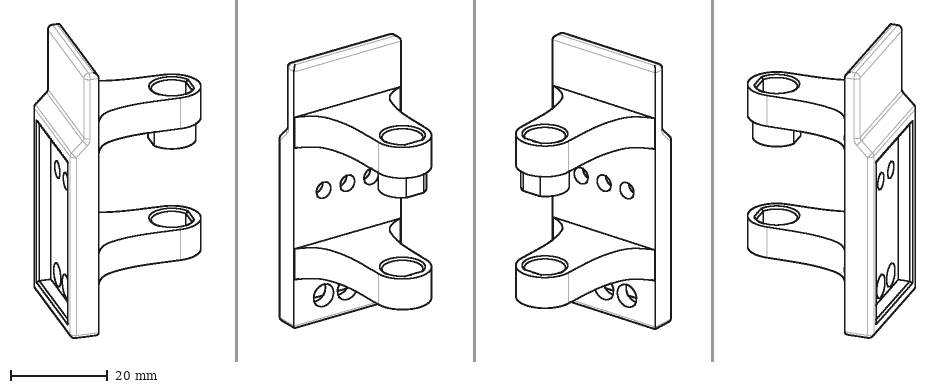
import cadquery as cq

width = 27.0
height = 60.0
thickness = 6.0
lip_thickness = 3.0
slope_bottom = 42.0
slope_rise = thickness - lip_thickness
edge_radius = 1.0

pocket_margin = 3.0
pocket_depth = 3.0
pocket_top = slope_bottom - pocket_margin
pocket_chamfer = 0.5

hole_pitch = 6.0
hole_rows = [(30.0, 3.6), (6.0, 5.0)]

arm_heights = (15.0, 45.0)
arm_thickness = 7.0
eye_radius = 6.05
eye_y = 26.0
root_half_width = 13.3
flare_points = [(6.2, 18.0), (7.25, 11.8), (8.9, 8.6), (10.9, 7.0)]
overlap = 0.6

bore_diameter = 8.5
bore_flat = 3.7
bore_chamfer = 0.5

sleeve_diameter = 10.1
sleeve_across_flats = 9.05
sleeve_length = 5.0


def make_plate():
    """Stepped slab, rounded everywhere except on its back side edges."""
    plate = (
        cq.Workplane("YZ")
        .moveTo(0, 0)
        .lineTo(thickness, 0)
        .lineTo(thickness, height)
        .lineTo(thickness - lip_thickness, height)
        .lineTo(thickness - lip_thickness, slope_bottom + slope_rise)
        .lineTo(0, slope_bottom)
        .close()
        .extrude(width / 2, both=True)
    )
    back_sides = cq.selectors.BoxSelector(
        (-width, thickness - edge_radius, height / 4),
        (width, thickness + edge_radius, height * 3 / 4),
    )
    rounded_edges = cq.selectors.SubtractSelector(cq.selectors.Selector(), back_sides)
    return plate.edges(rounded_edges).fillet(edge_radius)


def make_pocket():
    """Rectangular recess with a chamfered rim."""
    pocket_width = width - 2 * pocket_margin
    pocket_height = pocket_top - pocket_margin
    middle = (pocket_top + pocket_margin) / 2
    recess = cq.Workplane("XY").box(pocket_width, pocket_depth, pocket_height)
    recess = recess.translate((0, pocket_depth / 2, middle))
    rim = (
        cq.Workplane("XZ", origin=(0, 0, middle))
        .rect(pocket_width + 2 * pocket_chamfer, pocket_height + 2 * pocket_chamfer)
        .workplane(offset=-pocket_chamfer)
        .rect(pocket_width, pocket_height)
        .loft(ruled=True)
    )
    return recess.union(rim)


def make_hole_row(z, diameter):
    """Three holes running through the plate along Y."""
    return (
        cq.Workplane("XZ", origin=(0, 0, z))
        .rarray(hole_pitch, 0.6, 3, 1)
        .circle(diameter / 2)
        .extrude(-thickness)
    )


def make_arm(z):
    """Arm with a round eye, its sides flaring smoothly to the root on the plate."""
    right_side = flare_points[::-1] + [(eye_radius, eye_y)]
    left_side = [(-x, y) for x, y in flare_points] + [(-root_half_width, thickness)]
    return (
        cq.Workplane("XY", origin=(0, 0, z - arm_thickness / 2))
        .moveTo(root_half_width, thickness)
        .spline(right_side, includeCurrent=True)
        .threePointArc((0, eye_y + eye_radius), (-eye_radius, eye_y))
        .spline(left_side, includeCurrent=True)
        .lineTo(-root_half_width, thickness - overlap)
        .lineTo(root_half_width, thickness - overlap)
        .close()
        .extrude(arm_thickness)
    )


def make_sleeve():
    """Round sleeve blank with two flats, under the upper arm."""
    top = max(arm_heights) - arm_thickness / 2
    base = cq.Workplane("XY", origin=(0, eye_y, top))
    flats = base.rect(sleeve_diameter, sleeve_across_flats).extrude(-sleeve_length)
    return base.circle(sleeve_diameter / 2).extrude(-sleeve_length).intersect(flats)


def make_bore(z):
    """D-shaped cutter through the eye at z, chamfered at the upper end."""
    depth = arm_thickness + sleeve_length
    top = z + arm_thickness / 2
    radius = bore_diameter / 2
    bore = cq.Workplane("XY", origin=(0, eye_y, top - depth)).circle(radius).extrude(depth)
    flare = (
        cq.Workplane("XY", origin=(0, eye_y, top - bore_chamfer))
        .circle(radius)
        .workplane(offset=bore_chamfer)
        .circle(radius + bore_chamfer)
        .loft()
    )
    flat_guard = (
        cq.Workplane("YZ", origin=(0, eye_y, top))
        .moveTo(bore_flat, -depth)
        .lineTo(bore_flat, -bore_chamfer)
        .lineTo(bore_flat + bore_chamfer, 0)
        .lineTo(2 * radius, 0)
        .lineTo(2 * radius, -depth)
        .close()
        .extrude(bore_diameter, both=True)
    )
    return bore.union(flare).cut(flat_guard)


result = make_plate().cut(make_pocket())

for row_height, hole_diameter in hole_rows:
    result = result.cut(make_hole_row(row_height, hole_diameter))

for arm_height in arm_heights:
    result = result.union(make_arm(arm_height))

result = result.union(make_sleeve())

for arm_height in arm_heights:
    result = result.cut(make_bore(arm_height))